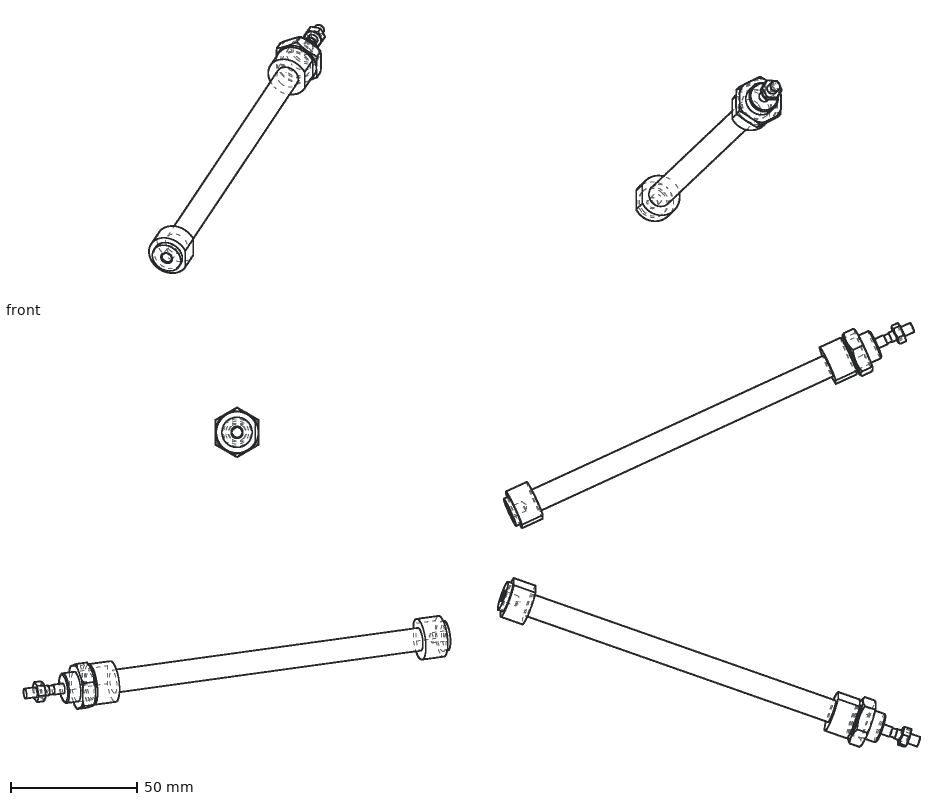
import cadquery as cq
import math

LENGTH = 176.0
ROD_END_Y = LENGTH / 2

ROD_DIAMETER = 4.0
GROOVE_DIAMETER = 3.5
GROOVE_START = 9.7
GROOVE_WIDTH = 2.1

THREAD_DIAMETER = 12.0
TUBE_DIAMETER = 9.2
CAP_DIAMETER = 16.4
CAP_LENGTH = 9.2
CAP_FLAT_OFFSET = 7.2
COLLAR_START = 16.0
COLLAR_CHAMFER = 0.5
FRONT_CAP_START = 27.6
REAR_BOSS_LENGTH = 2.0
REAR_BOSS_START = LENGTH - REAR_BOSS_LENGTH
REAR_CAP_START = REAR_BOSS_START - CAP_LENGTH

REAR_HOLE_DIAMETER = 4.0
REAR_HOLE_DEPTH = 6.0
REAR_HOLE_COUNTERSINK = 0.4
DRILL_POINT_ANGLE = 118

HEXAGON_SIDES = 6
ROD_NUT_CORNER_ANGLE = 0
MOUNTING_NUT_CORNER_ANGLE = 90
ROD_NUT_ACROSS_FLATS = 7.0
ROD_NUT_START = 4.4
ROD_NUT_THICKNESS = 3.2
MOUNTING_NUT_ACROSS_FLATS = 17.0
MOUNTING_NUT_START = 21.3
MOUNTING_NUT_THICKNESS = 5.5
NUT_BEVEL_ANGLE = 30
ROD_NUT_REAR_BEVEL = 0.7
ROD_NUT_FRONT_BEVEL = 0.2
MOUNTING_NUT_REAR_BEVEL = 1.4
MOUNTING_NUT_FRONT_BEVEL = 0.9


def disc(start, length, diameter):
    """Round bar on the axis, running toward -Y from the given station."""
    plane = cq.Workplane("XZ", origin=(0, ROD_END_Y - start, 0))
    return plane.circle(diameter / 2).extrude(length)


def make_rod():
    rod = disc(0, COLLAR_START, ROD_DIAMETER)
    ring = disc(GROOVE_START, GROOVE_WIDTH, ROD_DIAMETER).cut(
        disc(GROOVE_START, GROOVE_WIDTH, GROOVE_DIAMETER)
    )
    return rod.cut(ring)


def make_cap(start):
    """End cap: a short cylinder with one flat on its +X side."""
    flat_cutter = cq.Workplane("XY").box(
        CAP_DIAMETER, LENGTH, CAP_DIAMETER, centered=(False, True, True)
    ).translate((CAP_FLAT_OFFSET, 0, 0))
    return disc(start, CAP_LENGTH, CAP_DIAMETER).cut(flat_cutter)


def make_rear_hole():
    radius = REAR_HOLE_DIAMETER / 2
    cone_height = radius / math.tan(math.radians(DRILL_POINT_ANGLE / 2))
    rear_y = ROD_END_Y - LENGTH
    bottom_y = rear_y + REAR_HOLE_DEPTH
    profile = cq.Workplane("XY").polyline(
        [
            (0, rear_y),
            (radius + REAR_HOLE_COUNTERSINK, rear_y),
            (radius, rear_y + REAR_HOLE_COUNTERSINK),
            (radius, bottom_y),
            (0, bottom_y + cone_height),
        ]
    ).close()
    return profile.revolve(360, (0, 0, 0), (0, 1, 0))


def make_body():
    collar = disc(COLLAR_START, FRONT_CAP_START - COLLAR_START, THREAD_DIAMETER)
    collar = collar.faces(">Y").chamfer(COLLAR_CHAMFER)
    tube_start = FRONT_CAP_START + CAP_LENGTH
    tube = disc(tube_start, REAR_CAP_START - tube_start, TUBE_DIAMETER)
    rear_boss = disc(REAR_BOSS_START, REAR_BOSS_LENGTH, THREAD_DIAMETER)
    body = collar.union(make_cap(FRONT_CAP_START)).union(tube)
    body = body.union(make_cap(REAR_CAP_START)).union(rear_boss)
    return body.cut(make_rear_hole())


def make_nut_envelope(start, thickness, outer_radius, front_bevel, rear_bevel):
    """Round blank coned at both ends; bevel widths are measured radially."""
    slope = math.tan(math.radians(NUT_BEVEL_ANGLE))
    front_y = ROD_END_Y - start
    rear_y = front_y - thickness
    profile = cq.Workplane("XY").polyline(
        [
            (0, rear_y),
            (outer_radius - rear_bevel, rear_y),
            (outer_radius, rear_y + rear_bevel * slope),
            (outer_radius, front_y - front_bevel * slope),
            (outer_radius - front_bevel, front_y),
            (0, front_y),
        ]
    ).close()
    return profile.revolve(360, (0, 0, 0), (0, 1, 0))


def make_nut(start, thickness, across_flats, bore, corner_angle, front_bevel, rear_bevel):
    """Hexagon nut with its corners beveled on both faces, more deeply on the -Y face."""
    across_corners = across_flats / math.cos(math.pi / HEXAGON_SIDES)
    plane = cq.Workplane("XZ", origin=(0, ROD_END_Y - start, 0))
    hexagon = plane.polygon(HEXAGON_SIDES, across_corners).extrude(thickness)
    hexagon = hexagon.rotate((0, 0, 0), (0, 1, 0), corner_angle)
    envelope = make_nut_envelope(start, thickness, across_corners / 2, front_bevel, rear_bevel)
    return hexagon.intersect(envelope).cut(disc(start, thickness, bore))


rod = make_rod()
body = make_body()
rod_nut = make_nut(
    ROD_NUT_START,
    ROD_NUT_THICKNESS,
    ROD_NUT_ACROSS_FLATS,
    ROD_DIAMETER,
    ROD_NUT_CORNER_ANGLE,
    ROD_NUT_FRONT_BEVEL,
    ROD_NUT_REAR_BEVEL,
)
mounting_nut = make_nut(
    MOUNTING_NUT_START,
    MOUNTING_NUT_THICKNESS,
    MOUNTING_NUT_ACROSS_FLATS,
    THREAD_DIAMETER,
    MOUNTING_NUT_CORNER_ANGLE,
    MOUNTING_NUT_FRONT_BEVEL,
    MOUNTING_NUT_REAR_BEVEL,
)

result = cq.Compound.makeCompound([rod.val(), body.val(), rod_nut.val(), mounting_nut.val()])